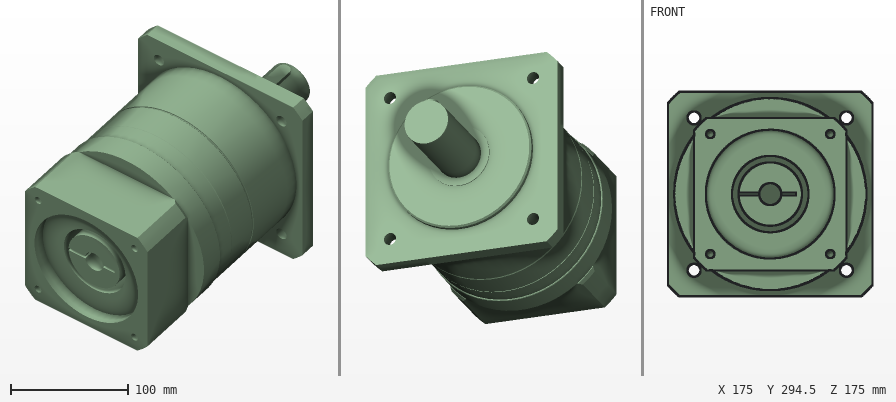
import cadquery as cq
import math


BOX_FRONT = 58.0
HUB_BASE = BOX_FRONT
COLLAR_FRONT = 81.5
ADAPTER_FRONT = 99.2
RING_FRONT = 129.5
BARREL_BACK = 130.8
FLANGE_BACK = 192.3
FLANGE_FRONT = 207.3
PILOT_FRONT = 212.5
SHOULDER_FRONT = 213.5
SHAFT_TIP = 294.5

FLANGE_WIDTH = 175.0
FLANGE_CORNER_RADIUS = 117.0
FLANGE_HOLE_SPACING = 130.2
FLANGE_HOLE_DIAMETER = 11.0
BARREL_RADIUS = 81.0
SPIGOT_RADIUS = 80.0
PILOT_RADIUS = 65.0
PILOT_CHAMFER = 1.5

RING_CHAMFER = 1.0

SHAFT_RADIUS = 20.0
SHAFT_CONE_LENGTH = 1.2
SHAFT_CONE_DROP = 0.3
SHOULDER_RADIUS = 27.5
KEY_WIDTH = 12.0
KEY_LENGTH = 70.0
KEY_TIP_GAP = 5.0
KEY_TOP = 23.0

COLLAR_RADIUS = 82.2
COLLAR_CHAMFER = 0.5
BOX_WIDTH = 130.2
BOX_CORNER_RADIUS = 84.8
BOX_CONE_LENGTH = 3.5
BOX_CONE_DROP = 2.0
MOTOR_PILOT_RADIUS = 55.0
MOTOR_PILOT_DEPTH = 12.0
HUB_BORE_RADIUS = 32.7
SCREW_SPACING = 102.5
SCREW_HOLE_DIAMETER = 7.0
SCREW_HOLE_DEPTH = 20.5
DRILL_TIP_ANGLE = 118.0

HUB_RADIUS = 27.0
HUB_FACE = 11.2
MOTOR_BORE_RADIUS = 9.5
MOTOR_BORE_DEPTH = 32.5
SLIT_WIDTH = 2.5
SLIT_END = 21.8
SLIT_DEPTH = 26.5

PLUG_RADIUS = 10.0
PLUG_DEPTH = 10.0
PLUG_STATION = 26.2
PLUG_OFFSET = -PLUG_RADIUS


def plane_at(station):
    """XZ workplane at a station, facing +Y, with local x = -X and local y = Z."""
    return cq.Workplane(cq.Plane((0, station, 0), xDir=(-1, 0, 0), normal=(0, 1, 0)))


def disc(radius, start, end):
    """Cylinder about the Y axis between two stations."""
    return plane_at(start).circle(radius).extrude(end - start)


def coned_disc(radius, start, end, cone_length, cone_drop):
    """Cylinder about the Y axis whose +Y end tapers by cone_drop in radius over cone_length."""
    profile = [
        (0, start),
        (radius, start),
        (radius, end - cone_length),
        (radius - cone_drop, end),
        (0, end),
    ]
    return cq.Workplane("XY").polyline(profile).close().revolve(360, (0, 0, 0), (0, 1, 0))


def turned_square(width, corner_radius, start, end):
    """Square plate whose corners are turned down to a radius about the Y axis."""
    plate = plane_at(start).rect(width, width).extrude(end - start)
    return plate.intersect(disc(corner_radius, start, end))


def corner_points(spacing):
    """Four points on a centred square."""
    half = spacing / 2
    return [(x, z) for x in (-half, half) for z in (-half, half)]


def make_output_housing():
    """Mounting flange with its pilot and barrel; the shaft shoulder sits in a recess."""
    barrel = disc(BARREL_RADIUS, BARREL_BACK, FLANGE_BACK)
    spigot = disc(SPIGOT_RADIUS, RING_FRONT, BARREL_BACK)
    flange = turned_square(FLANGE_WIDTH, FLANGE_CORNER_RADIUS, FLANGE_BACK, FLANGE_FRONT)
    flange_holes = (
        plane_at(FLANGE_BACK)
        .pushPoints(corner_points(FLANGE_HOLE_SPACING))
        .circle(FLANGE_HOLE_DIAMETER / 2)
        .extrude(FLANGE_FRONT - FLANGE_BACK)
    )
    pilot = disc(PILOT_RADIUS, FLANGE_FRONT, PILOT_FRONT).faces(">Y").chamfer(PILOT_CHAMFER)
    shoulder_recess = disc(SHOULDER_RADIUS, FLANGE_BACK, PILOT_FRONT)
    housing = spigot.union(barrel).union(flange).union(pilot)
    return housing.cut(flange_holes).cut(shoulder_recess)


def make_ring_gear():
    """Plain round stage between the housing and the adapter, chamfered at both ends."""
    return disc(BARREL_RADIUS, ADAPTER_FRONT, RING_FRONT).faces("<Y or >Y").chamfer(RING_CHAMFER)


def make_output_shaft():
    """Shoulder, journal and round-ended key along the top, in one solid."""
    shoulder = disc(SHOULDER_RADIUS, FLANGE_BACK, SHOULDER_FRONT)
    journal = coned_disc(SHAFT_RADIUS, SHOULDER_FRONT, SHAFT_TIP, SHAFT_CONE_LENGTH, SHAFT_CONE_DROP)
    key_centre = SHAFT_TIP - KEY_TIP_GAP - KEY_LENGTH / 2
    key = cq.Workplane("XY").center(0, key_centre).slot2D(KEY_LENGTH, KEY_WIDTH, 90).extrude(KEY_TOP)
    return shoulder.union(journal).union(key)


def make_access_plug():
    """Round plug flush with the top of the box, tangent to the shaft's centre plane."""
    return (
        cq.Workplane("XY", origin=(PLUG_OFFSET, PLUG_STATION, BOX_WIDTH / 2 - PLUG_DEPTH))
        .circle(PLUG_RADIUS)
        .extrude(PLUG_DEPTH)
    )


def make_screw_holes():
    """Blind holes in the motor face, each ending in a drill-point cone."""
    radius = SCREW_HOLE_DIAMETER / 2
    tip_length = radius / math.tan(math.radians(DRILL_TIP_ANGLE / 2))
    hole = (
        cq.Workplane("XY")
        .polyline([(0, 0), (radius, 0), (radius, SCREW_HOLE_DEPTH), (0, SCREW_HOLE_DEPTH + tip_length)])
        .close()
        .revolve(360, (0, 0, 0), (0, 1, 0))
    )
    holes = cq.Workplane("XY")
    for x, z in corner_points(SCREW_SPACING):
        holes = holes.add(hole.translate((x, 0, z)))
    return holes.combine()


def make_motor_adapter():
    """Neck, collar and square box, with the pilot recess and hub bore open at the motor face."""
    neck = disc(BARREL_RADIUS, COLLAR_FRONT, ADAPTER_FRONT)
    collar = disc(COLLAR_RADIUS, BOX_FRONT, COLLAR_FRONT).faces(">Y").chamfer(COLLAR_CHAMFER)
    square = plane_at(0).rect(BOX_WIDTH, BOX_WIDTH).extrude(BOX_FRONT)
    turned_envelope = coned_disc(BOX_CORNER_RADIUS, 0, BOX_FRONT, BOX_CONE_LENGTH, BOX_CONE_DROP)
    motor_pilot = disc(MOTOR_PILOT_RADIUS, 0, MOTOR_PILOT_DEPTH)
    hub_bore = disc(HUB_BORE_RADIUS, 0, HUB_BASE)
    adapter = neck.union(collar).union(square.intersect(turned_envelope))
    return adapter.cut(motor_pilot).cut(hub_bore).cut(make_screw_holes()).cut(make_access_plug())


def make_clamp_hub():
    """Slit hub standing in the adapter bore, with a clear gap around it."""
    motor_bore = disc(MOTOR_BORE_RADIUS, HUB_FACE, HUB_FACE + MOTOR_BORE_DEPTH)
    slit = cq.Workplane("XY").box(
        HUB_RADIUS + SLIT_END, SLIT_DEPTH, SLIT_WIDTH, centered=(False, False, True)
    )
    slit = slit.translate((-HUB_RADIUS, HUB_FACE, 0))
    return disc(HUB_RADIUS, HUB_FACE, HUB_BASE).cut(motor_bore).cut(slit)


output_housing = make_output_housing()
ring_gear = make_ring_gear()
motor_adapter = make_motor_adapter()
clamp_hub = make_clamp_hub()
access_plug = make_access_plug()
output_shaft = make_output_shaft()

result = cq.Compound.makeCompound(
    [
        output_housing.val(),
        ring_gear.val(),
        motor_adapter.val(),
        clamp_hub.val(),
        access_plug.val(),
        output_shaft.val(),
    ]
)